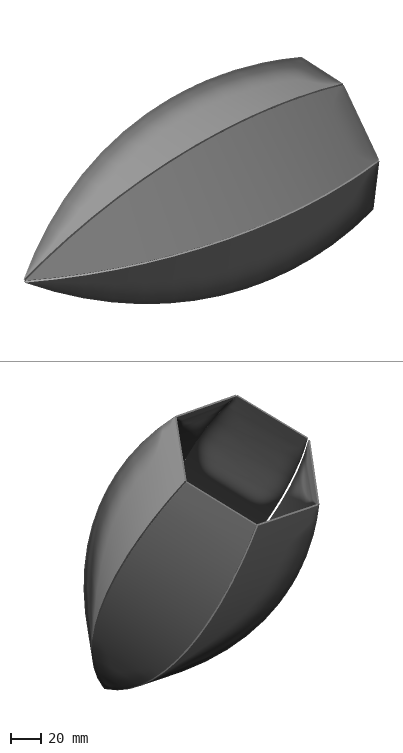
import cadquery as cq
import math

length = 246.5
widest_y = 168.5
inner_apothem = 59.1
sheet = 1.2
petal_count = 6
petal_step = 59.8
first_petal_angle = 112.0

arc_radius = (widest_y**2 + inner_apothem**2) / (2 * inner_apothem)
arc_center_z = inner_apothem - arc_radius
half_width_ratio = math.tan(math.radians(petal_step / 2))
side_intervals = 12


def arc_height(y, radius):
    """Height above the axis of the profile arc with the given radius."""
    return arc_center_z + math.sqrt(radius**2 - (y - widest_y)**2)


def side_edge(fraction):
    """Point (half width, Y) on a petal's side edge, from tip (0) to rear (1)."""
    y = length * fraction
    half_width = half_width_ratio * arc_height(y, arc_radius)
    return half_width, y


def curved_sheet():
    """Sheet bent to the profile arc, wider than a petal."""
    outer_radius = arc_radius + sheet
    sheet_width = 2 * inner_apothem
    return (
        cq.Workplane("YZ")
        .moveTo(0, arc_height(0, arc_radius))
        .threePointArc((widest_y, inner_apothem), (length, arc_height(length, arc_radius)))
        .lineTo(length, arc_height(length, outer_radius))
        .threePointArc((widest_y, inner_apothem + sheet), (0, arc_height(0, outer_radius)))
        .close()
        .extrude(sheet_width / 2, both=True)
    )


def petal_plan():
    """Pointed petal outline, extruded through the sheet; its sides meet the neighbours' inner edges."""
    right_edge = [side_edge(i / side_intervals) for i in range(side_intervals + 1)]
    left_edge = [(-x, y) for x, y in reversed(right_edge)]
    return (
        cq.Workplane("XY")
        .spline(right_edge)
        .lineTo(*left_edge[0])
        .spline(left_edge[1:], includeCurrent=True)
        .close()
        .extrude(2 * inner_apothem, both=True)
    )


petal = curved_sheet().intersect(petal_plan())


def placed_petal(index):
    """Copy of the petal, turned from +Z to its own direction around the Y axis."""
    direction = first_petal_angle - index * petal_step
    return petal.rotate((0, 0, 0), (0, 1, 0), 90 - direction)


petals = [placed_petal(i).solids().val() for i in range(petal_count)]
result = cq.Compound.makeCompound(petals)